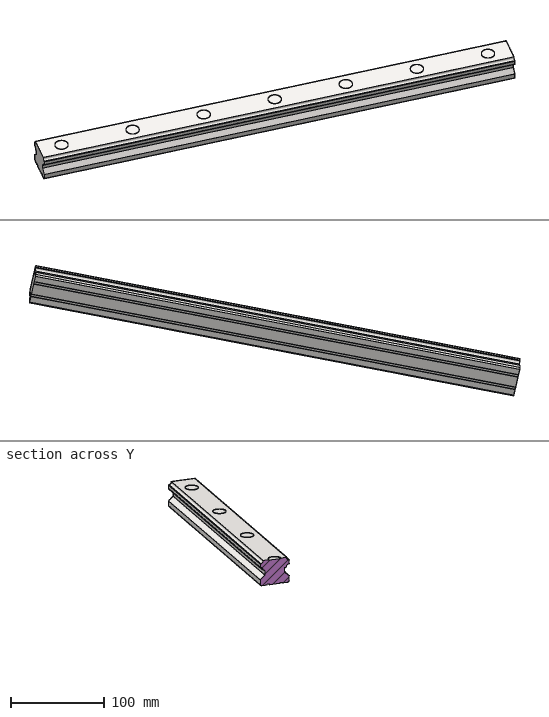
import cadquery as cq
import math

width = 34.0
length = 530.0
height = 29.0

half_width = width / 2
half_top = 14.0
half_waist = 11.5
lip_top = 26.0
lip_bottom = 20.5
lip_chamfer = 0.5
waist_top = 17.0
waist_bottom = 12.0
foot_top = 7.5
foot_chamfer = 1.5

ball_radius = 2.0
ball_sagitta = ball_radius * (1 - math.cos(math.pi / 4))
lower_groove_side = 14.0
lower_groove_bottom = 18.0

base_groove_spacing = 15.0
base_groove_width = 2.5
base_groove_depth = 0.8

hole_count = 7
hole_pitch = 80.0
hole_diameter = 14.5
hole_depth = 0.5


def half_section():
    """Right half of the rail section, closed along the mid plane."""
    return (
        cq.Workplane("XZ")
        .lineTo(half_width - foot_chamfer, 0)
        .lineTo(half_width, foot_chamfer)
        .lineTo(half_width, foot_top)
        .lineTo(half_waist, waist_bottom)
        .lineTo(half_waist, waist_top)
        .lineTo(lower_groove_side, lower_groove_bottom)
        .lineTo(lower_groove_side, lip_bottom - ball_radius)
        .sagittaArc((lower_groove_side + ball_radius, lip_bottom), ball_sagitta)
        .lineTo(half_width - lip_chamfer, lip_bottom)
        .lineTo(half_width, lip_bottom + lip_chamfer)
        .lineTo(half_width, lip_top - lip_chamfer)
        .lineTo(half_width - lip_chamfer, lip_top)
        .lineTo(half_top + ball_radius, lip_top)
        .sagittaArc((half_top, lip_top + ball_radius), ball_sagitta)
        .lineTo(half_top, height)
        .lineTo(0, height)
        .close()
    )


right_half = half_section().extrude(length / 2, both=True)
rail = right_half.union(right_half.mirror("YZ")).clean()

for side in (-1, 1):
    groove = cq.Workplane("XY").box(base_groove_width, length, 2 * base_groove_depth)
    rail = rail.cut(groove.translate((side * base_groove_spacing / 2, 0, 0)))

recesses = (
    cq.Workplane("XY", origin=(0, 0, height - hole_depth))
    .rarray(5.5, hole_pitch, 1, hole_count)
    .circle(hole_diameter / 2)
    .extrude(hole_depth)
)
result = rail.cut(recesses)